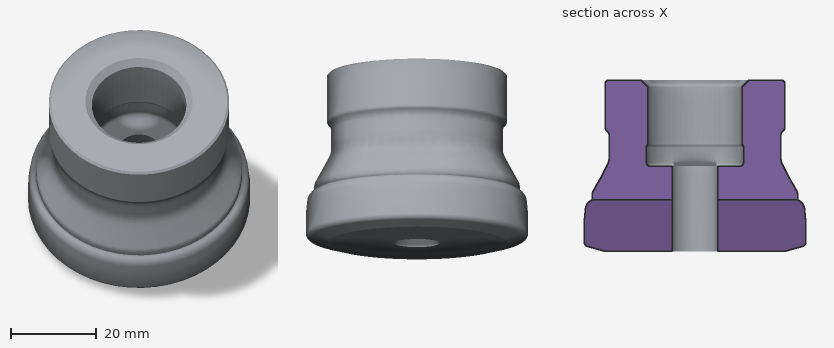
import cadquery as cq
import math

total_height = 39.88
pad_height = 12.0
through_hole_radius = 10.5 / 2

collar_radius = 42.0 / 2
collar_height = 11.0
collar_chamfer = 0.5
neck_radius = 40.0 / 2
undercut_angle = math.radians(45)
undercut_edge_round = 1.0
undercut_root_round = 2.0
flare_angle = math.radians(28.4)
flare_top_round = 5.0
flare_bottom_round = 2.0
flare_top_z = 22.3
foot_radius = 24.0

bore_radius = 22.01 / 2
bore_mouth_radius = 12.5
bore_depth = 15.0
relief_radius = 22.5 / 2
relief_slope_height = 0.5
socket_depth = 20.0
socket_floor_round = 0.75

pad_radius = 51.88 / 2
pad_shoulder_radius = 25.6
pad_shoulder_z = 9.9
pad_widest_z = 4.5
pad_side_bottom_radius = 25.88
pad_side_bottom_z = 2.2
pad_bevel_outer_radius = 25.0
pad_bevel_height = 1.1
pad_bottom_radius = 21.1


def round_height(radius, angle):
    """Axial length of an arc that turns from the axis direction by the angle."""
    return radius * math.sin(angle)


def round_width(radius, angle):
    """Radial width of an arc that turns from the axis direction by the angle."""
    return radius * (1 - math.cos(angle))


def revolve_profile(profile):
    """Close a radius-height profile and turn it about the Z axis."""
    return profile.close().revolve(360, (0, 0, 0), (0, 1, 0))


def make_housing():
    """Collar, neck and flared foot, with a stepped socket open at the top."""
    edge_z = total_height - collar_height
    slope_start_r = collar_radius - round_width(undercut_edge_round, undercut_angle)
    slope_start_z = edge_z - round_height(undercut_edge_round, undercut_angle)
    slope_end_r = neck_radius + round_width(undercut_root_round, undercut_angle)
    slope_end_z = slope_start_z - (slope_start_r - slope_end_r) / math.tan(undercut_angle)
    neck_top_z = slope_end_z - round_height(undercut_root_round, undercut_angle)

    cone_top_r = neck_radius + round_width(flare_top_round, flare_angle)
    cone_top_z = flare_top_z - round_height(flare_top_round, flare_angle)
    cone_bottom_r = foot_radius - round_width(flare_bottom_round, flare_angle)
    cone_bottom_z = cone_top_z - (cone_bottom_r - cone_top_r) / math.tan(flare_angle)
    foot_top_z = cone_bottom_z - round_height(flare_bottom_round, flare_angle)

    mouth_chamfer = bore_mouth_radius - bore_radius
    bore_end_z = total_height - bore_depth
    relief_z = bore_end_z - relief_slope_height
    floor_z = total_height - socket_depth

    profile = (
        cq.Workplane("XZ")
        .moveTo(bore_mouth_radius, total_height)
        .lineTo(collar_radius - collar_chamfer, total_height)
        .lineTo(collar_radius, total_height - collar_chamfer)
        .lineTo(collar_radius, edge_z)
        .tangentArcPoint((slope_start_r, slope_start_z), relative=False)
        .lineTo(slope_end_r, slope_end_z)
        .tangentArcPoint((neck_radius, neck_top_z), relative=False)
        .lineTo(neck_radius, flare_top_z)
        .tangentArcPoint((cone_top_r, cone_top_z), relative=False)
        .lineTo(cone_bottom_r, cone_bottom_z)
        .tangentArcPoint((foot_radius, foot_top_z), relative=False)
        .lineTo(foot_radius, pad_height)
        .lineTo(through_hole_radius, pad_height)
        .lineTo(through_hole_radius, floor_z)
        .lineTo(relief_radius - socket_floor_round, floor_z)
        .tangentArcPoint((relief_radius, floor_z + socket_floor_round), relative=False)
        .lineTo(relief_radius, relief_z)
        .lineTo(bore_radius, bore_end_z)
        .lineTo(bore_radius, total_height - mouth_chamfer)
    )
    return revolve_profile(profile)


def make_pad():
    """Bulging foot pad with a rounded shoulder, a bevelled underside and a centre hole."""
    profile = (
        cq.Workplane("XZ")
        .moveTo(through_hole_radius, 0)
        .lineTo(pad_bottom_radius, 0)
        .lineTo(pad_bevel_outer_radius, pad_bevel_height)
        .tangentArcPoint((pad_side_bottom_radius, pad_side_bottom_z), relative=False)
        .threePointArc((pad_radius, pad_widest_z), (pad_shoulder_radius, pad_shoulder_z))
        .tangentArcPoint((foot_radius, pad_height), relative=False)
        .lineTo(through_hole_radius, pad_height)
    )
    return revolve_profile(profile)


housing = make_housing()
pad = make_pad()

result = cq.Compound.makeCompound([housing.val(), pad.val()])